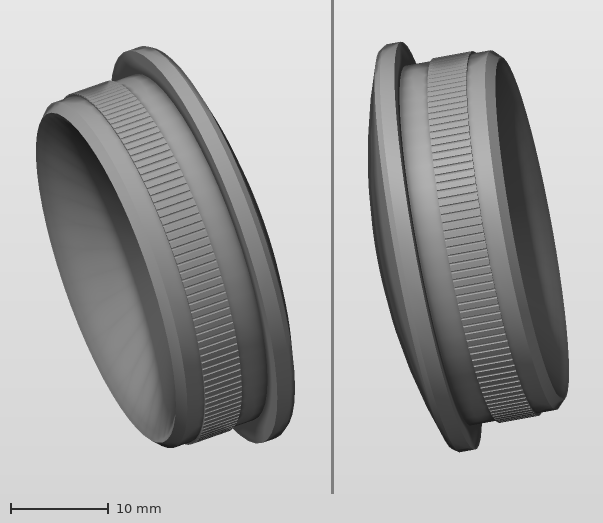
import cadquery as cq
import math


flange_radius = 21.2
flange_start = 9.85
flange_chamfer_start = 11.35
flange_chamfer_length = 0.65
flange_chamfer_depth = 0.42
overall_length = 15.8

plug_radius = 18.7
plug_chamfer = 0.9

hole_radius = 2.5
cone_depth = 8.9

knurl_radius = 18.95
knurl_start = 2.8
knurl_length = 4.05
groove_count = 140
groove_radius = 0.13

rim_radius = plug_radius - plug_chamfer
knurl_end = knurl_start + knurl_length
dome_radius = flange_radius - flange_chamfer_depth
dome_start = flange_chamfer_start + flange_chamfer_length

dome_height = overall_length - dome_start
sphere_center = (dome_start + overall_length) / 2 - (dome_radius**2 - hole_radius**2) / (2 * dome_height)
sphere_radius = math.hypot(dome_radius, dome_start - sphere_center)
dome_mid_radius = (dome_radius + hole_radius) / 2
dome_mid_height = sphere_center + math.sqrt(sphere_radius**2 - dome_mid_radius**2)


def make_cap():
    """Revolve the half section: plug with plain band, flange, dome, hole and conical bore."""
    return (
        cq.Workplane("XY")
        .moveTo(rim_radius, 0)
        .lineTo(plug_radius, plug_chamfer)
        .lineTo(plug_radius, knurl_start)
        .lineTo(knurl_radius, knurl_start)
        .lineTo(knurl_radius, knurl_end)
        .lineTo(plug_radius, knurl_end)
        .lineTo(plug_radius, flange_start)
        .lineTo(flange_radius, flange_start)
        .lineTo(flange_radius, flange_chamfer_start)
        .lineTo(dome_radius, dome_start)
        .threePointArc((dome_mid_radius, dome_mid_height), (hole_radius, overall_length))
        .lineTo(hole_radius, cone_depth)
        .close()
        .revolve(360, (0, 0, 0), (0, 1, 0))
    )


def make_grooves():
    """Round bars centred on the band surface, so each cuts a half-round groove."""
    return (
        cq.Workplane("XZ", origin=(0, knurl_start, 0))
        .polarArray(knurl_radius, 0, 360, groove_count)
        .circle(groove_radius)
        .extrude(-knurl_length)
    )


result = make_cap().cut(make_grooves())